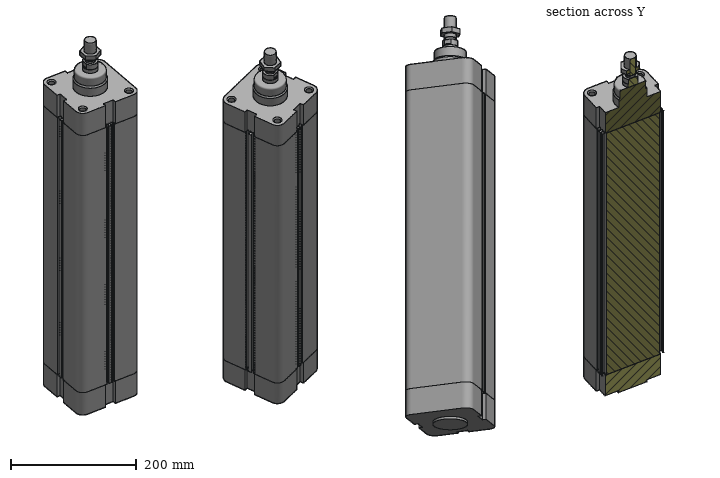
import cadquery as cq
import math


body_width = 115.5
corner_radius = 14.0
half_width = body_width / 2

overall_height = 683.0
rear_boss_height = 4.0
rear_cap_height = 44.0
tube_height = 501.0
head_cap_height = 43.0
tube_bottom = rear_boss_height + rear_cap_height
tube_top = tube_bottom + tube_height
head_top = tube_top + head_cap_height

groove_depth = 6.0
cap_groove_width = 18.5
slot_depth = 8.0
lip_thickness = 2.0
rib_stem_width = 4.0
rib_head_width = 6.0
slot_mouth_width = 4.0
groove_angles = (0, 90, -90)

hole_pitch = 89.0
hole_diameter = 10.0
hole_rim_diameter = 14.5
hole_rim_depth = 2.0
hole_depth = 20.5
drill_tip_angle = 118.0

boss_diameter = 55.0
boss_height = 18.5
boss_chamfer_height = 3.0
guide_diameter = 51.0
guide_height = 16.0
guide_rounding = 3.0
guide_top = head_top + boss_height + guide_height

collar_diameter = 25.0
collar_height = 7.0
flats_diameter = 24.5
flats_height = 9.5
flats_width = 22.0
flats_margin = 2.0
neck_diameter = 16.5
neck_height = 5.0
thread_diameter = 20.0
thread_tip_diameter = 18.5
thread_chamfer_height = 3.0
flats_bottom = guide_top + collar_height
neck_bottom = flats_bottom + flats_height
thread_bottom = neck_bottom + neck_height

nut_sides = 6
nut_width = 29.5
nut_height = 8.0
nut_gap = 6.0
nut_bottom = thread_bottom + nut_gap


def turned(profile):
    """Revolve a half profile of (radius, height) points about Z."""
    return cq.Workplane("XZ").polyline(profile).close().revolve(360, (0, 0), (0, 1))


def square_bar(bottom, height):
    """Square bar with rounded corners."""
    bar = cq.Workplane("XY").workplane(offset=bottom).rect(body_width, body_width).extrude(height)
    return bar.edges("|Z").fillet(corner_radius)


def cut_on_sides(bar, cutter):
    """Cut a groove made for the -Y side into every grooved side."""
    for angle in groove_angles:
        bar = bar.cut(cutter.rotate((0, 0, 0), (0, 0, 1), angle))
    return bar


def side_strip(x, width, depth_from, depth_to, bottom, height):
    """Upright block at a given depth range below the -Y side."""
    return (
        cq.Workplane("XY")
        .box(width, depth_to - depth_from, height, centered=(True, False, False))
        .translate((x, depth_from - half_width, bottom))
    )


def cap_block(bottom, height):
    """Cap with one plain groove in each grooved side."""
    groove = side_strip(0, cap_groove_width, 0, groove_depth, bottom, height)
    return cut_on_sides(square_bar(bottom, height), groove)


def screw_hole():
    """Blind hole with a wider rim and a drill tip, opening upward at Z = 0."""
    radius = hole_diameter / 2
    rim_radius = hole_rim_diameter / 2
    tip_height = radius / math.tan(math.radians(drill_tip_angle / 2))
    return turned([
        (0, 0),
        (rim_radius, 0),
        (radius, -hole_rim_depth),
        (radius, -hole_depth),
        (0, -hole_depth - tip_height),
    ])


def cut_corner_holes(cap, hole):
    """Cut one hole into each corner."""
    for x in (-hole_pitch / 2, hole_pitch / 2):
        for y in (-hole_pitch / 2, hole_pitch / 2):
            cap = cap.cut(hole.translate((x, y, 0)))
    return cap


def make_head_cap():
    """Upper cap with the stepped boss that the rod stands on."""
    boss_radius = boss_diameter / 2
    guide_radius = guide_diameter / 2
    boss_top = head_top + boss_height
    boss = turned([
        (0, tube_top),
        (boss_radius, tube_top),
        (boss_radius, boss_top - boss_chamfer_height),
        (guide_radius, boss_top),
        (guide_radius, guide_top),
        (0, guide_top),
    ])
    boss = boss.faces(">Z").edges().fillet(guide_rounding)
    cap = cap_block(tube_top, head_cap_height)
    cap = cut_corner_holes(cap, screw_hole().translate((0, 0, head_top)))
    return cap.union(boss)


def make_rear_cap():
    """Lower cap with a shallow centring boss underneath."""
    boss = cq.Workplane("XY").circle(boss_diameter / 2).extrude(rear_boss_height)
    return cap_block(rear_boss_height, rear_cap_height).union(boss)


def make_tube():
    """Tube section with a pair of undercut slots around a T-shaped rib in each grooved side."""
    chamber_width = (cap_groove_width - rib_stem_width) / 2
    chamber_x = (rib_stem_width + chamber_width) / 2
    mouth_x = (rib_head_width + slot_mouth_width) / 2
    tube = square_bar(tube_bottom, tube_height)
    for side in (-1, 1):
        chamber = side_strip(
            side * chamber_x, chamber_width, lip_thickness, slot_depth, tube_bottom, tube_height
        )
        mouth = side_strip(side * mouth_x, slot_mouth_width, 0, slot_depth, tube_bottom, tube_height)
        tube = cut_on_sides(tube, chamber.union(mouth))
    return tube


def make_rod():
    """Piston rod end with a collar, wrench flats, a neck and a chamfered threaded end."""
    rod = turned([
        (0, guide_top),
        (collar_diameter / 2, guide_top),
        (collar_diameter / 2, flats_bottom),
        (flats_diameter / 2, flats_bottom),
        (flats_diameter / 2, neck_bottom),
        (neck_diameter / 2, neck_bottom),
        (neck_diameter / 2, thread_bottom),
        (thread_diameter / 2, thread_bottom),
        (thread_diameter / 2, overall_height - thread_chamfer_height),
        (thread_tip_diameter / 2, overall_height),
        (0, overall_height),
    ])
    flat_length = flats_height - flats_margin
    flats_ring = (
        cq.Workplane("XY")
        .workplane(offset=flats_bottom + flats_margin)
        .rect(collar_diameter, collar_diameter)
        .rect(collar_diameter, flats_width)
        .extrude(flat_length)
    )
    return rod.cut(flats_ring)


def make_nut():
    """Hexagonal nut with corners on the X axis."""
    across_corners = nut_width / math.cos(math.pi / nut_sides)
    return (
        cq.Workplane("XY")
        .workplane(offset=nut_bottom)
        .polygon(nut_sides, across_corners)
        .circle(thread_diameter / 2)
        .extrude(nut_height)
    )


rear_cap = make_rear_cap()
tube = make_tube()
head_cap = make_head_cap()
rod = make_rod()
nut = make_nut()

result = cq.Compound.makeCompound([rear_cap.val(), tube.val(), head_cap.val(), rod.val(), nut.val()])